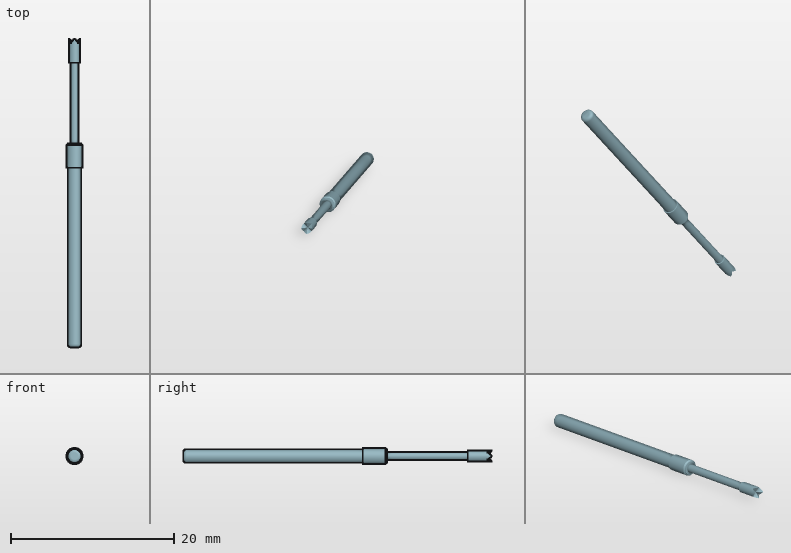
import cadquery as cq
import math

total_length = 37.8
collar_rear = 22.0
collar_front = 25.0
head_length = 3.0
head_rear = total_length - head_length

barrel_diameter = 1.7
collar_diameter = 2.0
stem_diameter = 1.02
head_diameter = 1.35

rear_rounding = 0.4
collar_chamfer = 0.23

groove_count = 2
groove_depth = 0.6
first_groove_angle = 45.0
tip_land = 0.008
groove_half_width = head_diameter / 2 * math.cos(math.radians(first_groove_angle)) - tip_land


def rod(diameter, start, end):
    """Cylinder on the Y axis between two stations."""
    workplane = cq.Workplane("XZ", origin=(0, start, 0))
    return workplane.circle(diameter / 2).extrude(start - end)


def crown_groove(angle):
    """V groove across the front face, turned about the Y axis."""
    groove = (
        cq.Workplane("XY")
        .moveTo(-groove_half_width, total_length)
        .lineTo(groove_half_width, total_length)
        .lineTo(0, total_length - groove_depth)
        .close()
        .extrude(head_diameter, both=True)
    )
    return groove.rotate((0, 0, 0), (0, 1, 0), angle)


barrel = rod(barrel_diameter, 0, collar_front).faces("<Y").edges().fillet(rear_rounding)
collar = rod(collar_diameter, collar_rear, collar_front).faces(">Y").edges().chamfer(collar_chamfer)

stem = rod(stem_diameter, collar_rear, total_length - head_length / 2)
head = rod(head_diameter, head_rear, total_length)
plunger = stem.union(head)
for index in range(groove_count):
    plunger = plunger.cut(crown_groove(first_groove_angle + index * 180.0 / groove_count))

result = barrel.union(collar).union(plunger)